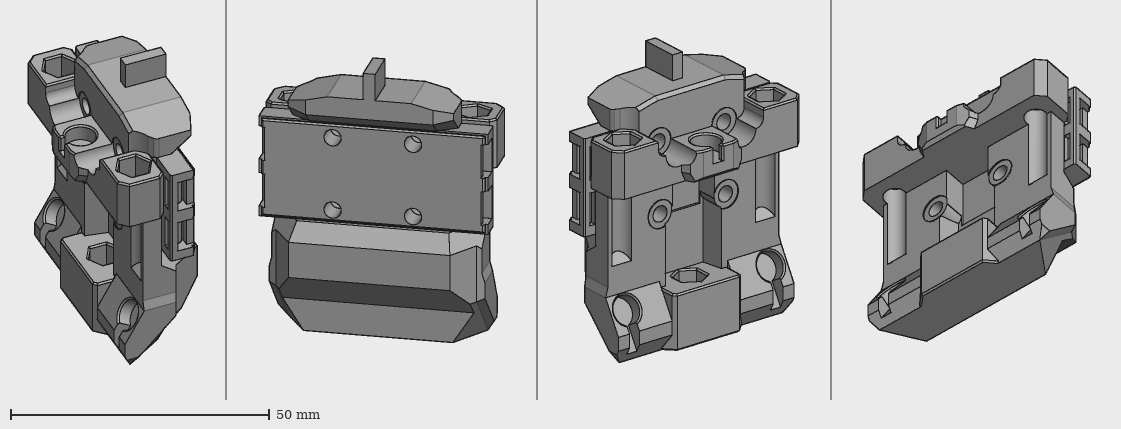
import cadquery as cq
import math


EDGE_CHAMFER = 0.35
REACH = 34.5

CARRIAGE_HALF_WIDTH = 22.75
CARRIAGE_REAR = -3.15
CARRIAGE_FRONT = -8.6
CARRIAGE_CLEARANCE = 0.1
LEDGE_Z = 24.55
CEILING_Z = 45.55

SCREW_X = 8.0
SCREW_Z = (27.35, 42.4)
SCREW_HOLE_DIAMETER = 3.4
SCREW_HEAD_DIAMETER = 6.0
SCREW_SEAT_DEPTH = 0.25
SCREW_SLEEVE_DIAMETER = 5.5

PLATE_HALF_WIDTH = 20.9
PLATE_FRONT = -13.7
PLATE_REAR = -9.7
PAD_HALF_WIDTH = 16.1

CROWN_TOP = 52.05
CROWN_FLAT_HALF_WIDTH = 8.35
CROWN_HALF_WIDTH = 16.45
CROWN_SHOULDER_Z = 50.1
CROWN_FRONT = -13.1
CROWN_FRONT_HALF_WIDTH = 12.8
CROWN_EDGE_CHAMFER = 0.75
CROWN_REAR_Z = 47.95
FIN_HALF_WIDTH = 1.2
FIN_DEPTH = 8.6
FIN_TOP = 57.5

BEAM_HALF_WIDTH = 22.95
BEAM_REAR = -9.7
BEAM_FRONT = -19.25
BEAM_BOTTOM = 35.95
BEAM_TOP = 46.05
BEAM_FRONT_CHAMFER = 1.85
BEAM_REAR_CHAMFER = 1.25
TROUGH_FILLET = 1.9
TROUGH_FLOOR = SCREW_Z[1]

BOLT_X = 17.55
BOLT_Y = -14.15
BOLT_DIAMETER = 4.8
BOLT_GROOVE_END = 19.5
CROWN_BOLT_RELIEF_RADIUS = 4.65
NUT_ACROSS_FLATS = 6.0
NUT_DEPTH = 5.75

MAGNET_DIAMETER = 6.1
MAGNET_SLOT_HALF_WIDTH = 1.2
LOWER_MAGNET_Z = 10.3
LOWER_MAGNET_DEPTH = 3.0
UPPER_MAGNET_Y = -17.6
UPPER_MAGNET_FLOOR = 39.0
UPPER_SLOT_HALF_WIDTH = 1.05

NOSE_FRONT = -21.6
NOSE_FACE_HALF_WIDTH = 3.7
NOSE_CORNER_HALF_WIDTH = 6.25
NOSE_CORNER_Y = -20.9
NOSE_ROOT_HALF_WIDTH = 7.2
NOSE_CORNER_Z = 37.95
NOSE_BOTTOM_CHAMFER = 0.75

FOOT_HALF_WIDTH = 21.45
FOOT_TAPER_TOP = 15.35
FOOT_TOP = 13.3
FOOT_FRONT = -17.75
FOOT_FACE_TOP = 6.3
FOOT_FACE_BOTTOM = 3.4
FOOT_SOLE_FRONT = -16.05
FOOT_SOLE_REAR = -7.9
FOOT_SOLE_HALF_WIDTH = 19.95
FOOT_SOLE_CORNER_Z = 2.4
FOOT_BAND_Z = 9.55
REAR_HALF_WIDTH = 16.05
REAR_WALL_TOP = 21.15
REAR_WALL_BOTTOM = 13.85

BLOCK_FRONT = -18.45
BLOCK_REAR = -8.6
BLOCK_FACE_HALF_WIDTH = 7.6
BLOCK_HALF_WIDTH = 8.35
BLOCK_ROOT_HALF_WIDTH = 10.0
BLOCK_TOP = 11.95
BLOCK_NUT_Y = -12.5

RECESS_FLOOR = -8.95
RECESS_HALF_WIDTH = 5.2
LOWER_RECESS_FLOOR_HALF_WIDTH = 5.9
LOWER_RECESS_MOUTH_HALF_WIDTH = 6.85
LOWER_RECESS_TOP = 27.15


def mirrored(half):
    """Close a +X half outline with its mirror image."""
    return half + [(-x, other) for x, other in reversed(half) if x != 0]


def upright_prism(outline, bottom, top):
    """Prism along Z from an outline of (x, y) points."""
    return cq.Workplane("XY").workplane(offset=bottom).polyline(outline).close().extrude(top - bottom)


def front_prism(outline, front, rear):
    """Prism along Y from an outline of (x, z) points."""
    return cq.Workplane("XZ", origin=(0, rear, 0)).polyline(outline).close().extrude(rear - front)


def side_prism(outline, half_width):
    """Prism along X, centred on X = 0, from an outline of (y, z) points."""
    return cq.Workplane("YZ").polyline(outline).close().extrude(half_width, both=True)


def box(x_range, y_range, z_range):
    size = [end - start for start, end in (x_range, y_range, z_range)]
    corner = (x_range[0], y_range[0], z_range[0])
    return cq.Workplane("XY").box(*size, centered=False).translate(corner)


def centred_box(half_width, y_range, z_range):
    return box((-half_width, half_width), y_range, z_range)


def cylinder_along_y(x, z, diameter, front, rear):
    return cq.Workplane("XZ", origin=(x, rear, z)).circle(diameter / 2).extrude(rear - front)


def both_sides(shape):
    """A +X shape together with its mirror image."""
    return shape.union(shape.mirror("YZ"))


def beyond_plane(a, b, c, outward):
    """Everything on the `outward` side of the plane through three points, on both sides of X = 0."""
    a, b, c = cq.Vector(*a), cq.Vector(*b), cq.Vector(*c)
    normal = (b - a).cross(c - a)
    if normal.dot(cq.Vector(*outward)) < 0:
        normal = -normal
    plane = cq.Plane(origin=a.toTuple(), normal=normal.toTuple())
    return both_sides(cq.Workplane(plane).rect(REACH, REACH).extrude(REACH / 4))


def nut_pocket(x, y, top):
    """Hexagonal pocket with a chamfered mouth and two corners on the Y axis."""
    def hexagon(across_flats, bottom):
        plane = cq.Workplane("XY", origin=(x, y, bottom)).transformed(rotate=(0, 0, 90))
        return plane.polygon(6, across_flats / math.cos(math.pi / 6))

    pocket = hexagon(NUT_ACROSS_FLATS, top - NUT_DEPTH).extrude(NUT_DEPTH)
    return pocket.union(hexagon(NUT_ACROSS_FLATS, top - EDGE_CHAMFER).extrude(EDGE_CHAMFER, taper=-45))


def magnet_bore(plane, depth):
    """Round pocket with a chamfered mouth, sunk `depth` below a plane whose normal points out."""
    bore = cq.Workplane(plane).circle(MAGNET_DIAMETER / 2).extrude(-depth)
    mouth = cq.Workplane(plane).workplane(offset=-EDGE_CHAMFER).circle(MAGNET_DIAMETER / 2)
    return bore.union(mouth.extrude(EDGE_CHAMFER, taper=-45))


def make_crown():
    step_x, step_y = 15.25, -10.1
    wall_end_y = step_y + (CROWN_HALF_WIDTH - step_x)
    arc_end_y = CROWN_FRONT
    middle_angle = math.radians(143)
    arc_middle = (
        BOLT_X + CROWN_BOLT_RELIEF_RADIUS * math.cos(middle_angle),
        BOLT_Y + CROWN_BOLT_RELIEF_RADIUS * math.sin(middle_angle),
    )
    crown = (
        cq.Workplane("XY").workplane(offset=CEILING_Z)
        .moveTo(-CROWN_HALF_WIDTH, 0)
        .lineTo(CROWN_HALF_WIDTH, 0)
        .lineTo(CROWN_HALF_WIDTH, wall_end_y)
        .lineTo(step_x, step_y)
        .threePointArc(arc_middle, (CROWN_FRONT_HALF_WIDTH, arc_end_y))
        .lineTo(-CROWN_FRONT_HALF_WIDTH, arc_end_y)
        .threePointArc((-arc_middle[0], arc_middle[1]), (-step_x, step_y))
        .lineTo(-CROWN_HALF_WIDTH, wall_end_y)
        .close()
        .extrude(CROWN_TOP - CEILING_Z)
    )
    corner_fillet = 1.4
    for side in (-1, 1):
        corner = cq.selectors.NearestToPointSelector((side * CROWN_HALF_WIDTH, wall_end_y, CROWN_REAR_Z))
        crown = crown.edges(corner).fillet(corner_fillet)

    roof = [
        (CROWN_HALF_WIDTH, CEILING_Z),
        (CROWN_HALF_WIDTH, CROWN_SHOULDER_Z),
        (CROWN_FLAT_HALF_WIDTH, CROWN_TOP),
    ]
    crown = crown.intersect(front_prism(mirrored(roof), CROWN_FRONT, 0))
    crown = crown.edges("<Y and (not |Z)").edges(">Z or (not |X)").chamfer(CROWN_EDGE_CHAMFER)
    return crown


def crown_rear_cuts():
    """Bevels around the rear edge: under the rear face, at the corners and under the corners."""
    lower_edge = side_prism(
        [(0, CROWN_REAR_Z), (CARRIAGE_REAR, CEILING_Z), (0, CEILING_Z)], CROWN_HALF_WIDTH
    )
    rear_x, side_y, side_z = 12.65, -1.5, 48.7
    corner = beyond_plane(
        (rear_x, 0, CROWN_REAR_Z), (rear_x, 0, CROWN_TOP), (CROWN_HALF_WIDTH, side_y, CROWN_TOP), (1, 1, 0)
    )
    under_corner = beyond_plane(
        (rear_x, 0, CROWN_REAR_Z), (CROWN_HALF_WIDTH, side_y, side_z), (CROWN_HALF_WIDTH, -5.65, CEILING_Z),
        (1, 1, -1),
    )
    return lower_edge, corner, under_corner


def make_foot():
    profile = [
        (0, REAR_WALL_TOP), (CARRIAGE_REAR, LEDGE_Z), (PLATE_FRONT, LEDGE_Z), (PLATE_FRONT, FOOT_TOP),
        (FOOT_FRONT, FOOT_FACE_TOP), (FOOT_FRONT, FOOT_FACE_BOTTOM), (FOOT_SOLE_FRONT, 0),
        (FOOT_SOLE_REAR, 0), (FOOT_SOLE_REAR, 6.55), (0, REAR_WALL_BOTTOM),
    ]
    wall_end = (FOOT_SOLE_HALF_WIDTH, -6.2)
    bevel_end = (FOOT_HALF_WIDTH, -6.95)
    plan = [(REAR_HALF_WIDTH, 0), wall_end, bevel_end, (FOOT_HALF_WIDTH, FOOT_FRONT)]
    elevation = [
        (PLATE_HALF_WIDTH, LEDGE_Z), (PLATE_HALF_WIDTH, FOOT_TAPER_TOP), (FOOT_HALF_WIDTH, FOOT_TOP),
        (FOOT_HALF_WIDTH, FOOT_SOLE_CORNER_Z), (FOOT_SOLE_HALF_WIDTH, 0),
    ]
    foot = side_prism(profile, FOOT_HALF_WIDTH)
    foot = foot.intersect(upright_prism(mirrored(plan), 0, LEDGE_Z))
    foot = foot.intersect(front_prism(mirrored(elevation), FOOT_FRONT, 0))

    sole_corner = (FOOT_SOLE_HALF_WIDTH, FOOT_SOLE_FRONT, 0)
    wall_corner = (*wall_end, FOOT_BAND_Z)
    side_corner = (FOOT_HALF_WIDTH, -14.85, FOOT_SOLE_CORNER_Z)
    along_wall = (REAR_HALF_WIDTH, 0, FOOT_BAND_Z)
    middle = centred_box(FOOT_SOLE_HALF_WIDTH, (-REACH, REACH), (-REACH, REACH))
    foot = foot.cut(beyond_plane(sole_corner, wall_corner, along_wall, (1, 1, -1)).intersect(middle))
    foot = foot.cut(beyond_plane(sole_corner, wall_corner, side_corner, (1, 1, -1)).cut(middle))

    shoulder_z = 22.65
    shoulder = beyond_plane(
        (REAR_HALF_WIDTH, 0, REAR_WALL_TOP), (*wall_end, REAR_WALL_TOP),
        (PLATE_HALF_WIDTH, PLATE_REAR, shoulder_z), (1, 1, 1),
    )
    foot = foot.cut(shoulder.intersect(centred_box(FOOT_HALF_WIDTH, (PLATE_REAR, 0), (0, LEDGE_Z))))

    return foot.cut(centred_box(BLOCK_HALF_WIDTH, (FOOT_FRONT, PLATE_FRONT), (FOOT_FACE_BOTTOM, FOOT_TOP)))


def make_block():
    """Block at the bottom middle with 45 degree front corners that flare out under the foot faces."""
    inset = BLOCK_HALF_WIDTH - BLOCK_FACE_HALF_WIDTH
    flare = BLOCK_ROOT_HALF_WIDTH - BLOCK_FACE_HALF_WIDTH
    upper = mirrored([
        (BLOCK_FACE_HALF_WIDTH, BLOCK_FRONT), (BLOCK_HALF_WIDTH, BLOCK_FRONT + inset),
        (BLOCK_HALF_WIDTH, BLOCK_REAR),
    ])
    lower = mirrored([
        (BLOCK_FACE_HALF_WIDTH, BLOCK_FRONT), (BLOCK_ROOT_HALF_WIDTH, BLOCK_FRONT + flare),
        (BLOCK_ROOT_HALF_WIDTH, BLOCK_REAR),
    ])
    block = upright_prism(upper, FOOT_FACE_BOTTOM, BLOCK_TOP).faces(">Z").edges().chamfer(EDGE_CHAMFER)
    root = upright_prism(lower, 0, FOOT_FACE_BOTTOM).faces("<Z").edges().chamfer(EDGE_CHAMFER)
    return block.union(root)


def make_beam():
    beam = centred_box(BEAM_HALF_WIDTH, (BEAM_FRONT, BEAM_REAR), (BEAM_BOTTOM, BEAM_TOP))
    beam = beam.edges("|Z and <Y").chamfer(BEAM_FRONT_CHAMFER)
    beam = beam.edges("|Z and >Y").chamfer(BEAM_REAR_CHAMFER)
    trough = centred_box(CROWN_FRONT_HALF_WIDTH, (BEAM_FRONT, BEAM_REAR), (TROUGH_FLOOR, CROWN_TOP))
    trough = trough.edges("|Y and <Z").fillet(TROUGH_FILLET)
    beam = beam.cut(trough)
    return beam.faces(">Z").edges().chamfer(EDGE_CHAMFER)


def make_nose():
    plan = [
        (NOSE_ROOT_HALF_WIDTH, CROWN_FRONT), (NOSE_ROOT_HALF_WIDTH, BEAM_FRONT),
        (NOSE_CORNER_HALF_WIDTH, NOSE_CORNER_Y), (NOSE_FACE_HALF_WIDTH, NOSE_FRONT),
    ]
    nose = upright_prism(mirrored(plan), BEAM_BOTTOM, TROUGH_FLOOR).faces(">Z").edges().chamfer(EDGE_CHAMFER)
    nose = nose.cut(beyond_plane(
        (NOSE_ROOT_HALF_WIDTH, BEAM_FRONT, NOSE_CORNER_Z),
        (NOSE_CORNER_HALF_WIDTH, NOSE_CORNER_Y, NOSE_CORNER_Z),
        (NOSE_CORNER_HALF_WIDTH, BEAM_FRONT, BEAM_BOTTOM), (1, -1, -1),
    ))
    bottom_edge = [
        (NOSE_FRONT, BEAM_BOTTOM), (NOSE_FRONT, BEAM_BOTTOM + NOSE_BOTTOM_CHAMFER),
        (NOSE_FRONT + NOSE_BOTTOM_CHAMFER, BEAM_BOTTOM),
    ]
    return nose.cut(side_prism(bottom_edge, NOSE_ROOT_HALF_WIDTH))


def screw_cuts():
    cuts = []
    for x in (-SCREW_X, SCREW_X):
        for z, seat_face in zip(SCREW_Z, (PLATE_FRONT, CROWN_FRONT)):
            cuts.append(cylinder_along_y(x, z, SCREW_HOLE_DIAMETER, NOSE_FRONT, 0))
            cuts.append(cylinder_along_y(x, z, SCREW_HEAD_DIAMETER, NOSE_FRONT, seat_face + SCREW_SEAT_DEPTH))
    return cuts


def bolt_cut(x):
    """Bolt hole through the beam that runs on as a groove in the plate, with a 45 degree end."""
    floor_at_axis = BOLT_GROOVE_END + (BOLT_Y - PLATE_FRONT)
    radius = BOLT_DIAMETER / 2
    hole = cq.Workplane("XY", origin=(x, BOLT_Y, floor_at_axis - radius)).circle(radius)
    hole = hole.extrude(BEAM_TOP - floor_at_axis + radius)
    end_slope = side_prism([
        (BOLT_Y - radius, floor_at_axis - radius), (BOLT_Y + radius, floor_at_axis + radius),
        (BOLT_Y + radius, floor_at_axis - radius),
    ], BEAM_HALF_WIDTH)
    return hole.cut(end_slope)


def lower_magnet_cut(x):
    """Pocket square to the sloped foot face, with a slot of the same depth running down and out."""
    slope = (FOOT_FRONT - PLATE_FRONT) / (FOOT_TOP - FOOT_FACE_TOP)
    center = (x, PLATE_FRONT + slope * (FOOT_TOP - LOWER_MAGNET_Z), LOWER_MAGNET_Z)
    plane = cq.Plane(origin=center, xDir=(1, 0, 0), normal=(0, -1, -slope))
    slot_length = 17.25
    slot = (
        cq.Workplane(plane).workplane(offset=-LOWER_MAGNET_DEPTH)
        .center(0, -slot_length / 2)
        .rect(2 * MAGNET_SLOT_HALF_WIDTH, slot_length)
        .extrude(2 * LOWER_MAGNET_DEPTH)
    )
    return magnet_bore(plane, LOWER_MAGNET_DEPTH).union(slot)


def upper_magnet_cut():
    """Pocket in the top of the nose, with a front slot that has chamfered edges."""
    plane = cq.Plane(origin=(0, UPPER_MAGNET_Y, TROUGH_FLOOR), normal=(0, 0, 1))
    mouth_half_width = UPPER_SLOT_HALF_WIDTH + EDGE_CHAMFER
    slot = [
        (UPPER_SLOT_HALF_WIDTH, UPPER_MAGNET_FLOOR), (UPPER_SLOT_HALF_WIDTH, TROUGH_FLOOR - EDGE_CHAMFER),
        (mouth_half_width, TROUGH_FLOOR),
    ]
    mouth = [
        (UPPER_SLOT_HALF_WIDTH, NOSE_FRONT + EDGE_CHAMFER), (mouth_half_width, NOSE_FRONT),
    ]
    bore = magnet_bore(plane, TROUGH_FLOOR - UPPER_MAGNET_FLOOR)
    bore = bore.union(front_prism(mirrored(slot), NOSE_FRONT, UPPER_MAGNET_Y))
    return bore.union(upright_prism(mirrored(mouth), UPPER_MAGNET_FLOOR, TROUGH_FLOOR))


def belt_recess():
    """Recess that opens onto the carriage, wider below; the sleeves of the lower screws stand into it."""
    upper = centred_box(RECESS_HALF_WIDTH, (PLATE_FRONT, CARRIAGE_FRONT), (LEDGE_Z, BEAM_BOTTOM))
    plan = [
        (LOWER_RECESS_FLOOR_HALF_WIDTH, RECESS_FLOOR), (LOWER_RECESS_MOUTH_HALF_WIDTH, PLATE_FRONT),
    ]
    lower = upright_prism(mirrored(plan), BLOCK_TOP, LOWER_RECESS_TOP)
    for x in (-SCREW_X, SCREW_X):
        lower = lower.cut(cylinder_along_y(x, SCREW_Z[0], SCREW_SLEEVE_DIAMETER, PLATE_FRONT, 0))
    return upper.union(lower)


def make_housing():
    plate = centred_box(PLATE_HALF_WIDTH, (PLATE_FRONT, PLATE_REAR), (LEDGE_Z, BEAM_BOTTOM))
    pad = centred_box(PAD_HALF_WIDTH, (CROWN_FRONT, CARRIAGE_FRONT), (LEDGE_Z, CEILING_Z))
    fin = centred_box(FIN_HALF_WIDTH, (-FIN_DEPTH, 0), (CROWN_SHOULDER_Z, FIN_TOP))

    crown = make_crown()
    for cut in crown_rear_cuts():
        crown = crown.cut(cut)

    housing = make_foot().union(plate).union(pad)
    housing = housing.cut(belt_recess())
    housing = housing.union(make_block()).union(crown).union(fin)
    housing = housing.union(make_beam()).union(make_nose())

    for x in (-BOLT_X, BOLT_X):
        housing = housing.cut(bolt_cut(x))
        housing = housing.cut(nut_pocket(x, BOLT_Y, BEAM_TOP))
        housing = housing.cut(lower_magnet_cut(x))
    housing = housing.cut(nut_pocket(0, BLOCK_NUT_Y, BLOCK_TOP))
    housing = housing.cut(upper_magnet_cut())
    for cut in screw_cuts():
        housing = housing.cut(cut)
    return housing


def make_carriage():
    bottom = LEDGE_Z + CARRIAGE_CLEARANCE
    top = CEILING_Z - CARRIAGE_CLEARANCE
    step_half_width = 22.2
    step_y = -3.85
    carriage = centred_box(CARRIAGE_HALF_WIDTH, (CARRIAGE_FRONT, step_y), (bottom, top))
    carriage = carriage.edges("|Z and <Y").chamfer(EDGE_CHAMFER)
    rear_step = centred_box(
        step_half_width, (step_y, CARRIAGE_REAR), (bottom + EDGE_CHAMFER, top - EDGE_CHAMFER)
    )
    carriage = carriage.union(rear_step.faces(">Y").edges().chamfer(EDGE_CHAMFER))

    window_height = 6.9
    window_inset = 2.05
    side_floor_x, side_front_y, side_rear_y = 19.9, -7.15, -4.7
    notch_floor_x = 21.5
    tube_x, tube_y, tube_diameter = 19.15, -6.25, 2.8
    slot_inner_x, slot_outer_x, slot_depth = 20.1, 21.45, 1.15
    for z in (bottom + window_inset, top - window_inset - window_height):
        height = (z, z + window_height)
        opening = box((side_floor_x, CARRIAGE_HALF_WIDTH), (side_front_y, side_rear_y), height)
        tube = cq.Workplane("XY", origin=(tube_x, tube_y, z)).circle(tube_diameter / 2).extrude(window_height)
        notch = box((notch_floor_x, CARRIAGE_HALF_WIDTH), (side_rear_y, CARRIAGE_REAR), height)
        front_slot = box((slot_inner_x, slot_outer_x), (CARRIAGE_FRONT, CARRIAGE_FRONT + slot_depth), height)
        for cut in (opening.cut(tube), notch, front_slot):
            carriage = carriage.cut(both_sides(cut))

    for x in (-SCREW_X, SCREW_X):
        for z in SCREW_Z:
            hole = cylinder_along_y(x, z, SCREW_HOLE_DIAMETER, CARRIAGE_FRONT, CARRIAGE_REAR)
            carriage = carriage.cut(hole)
    return carriage


housing = make_housing()
carriage = make_carriage()

result = cq.Compound.makeCompound([housing.val(), carriage.val()])